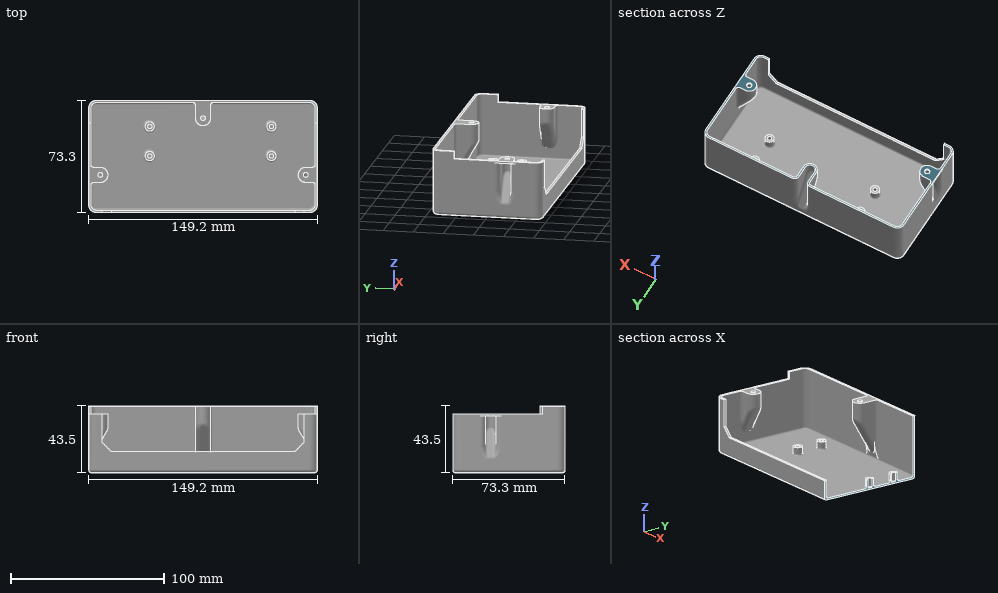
import cadquery as cq
import math

length = 149.2
width = 73.3
height = 43.5
corner_radius = 5.0
bottom_radius = 2.0
wall = 1.5
floor_fillet = 1.5

rim_drop = 5.0
back_rim_depth = 14.8

window_margin = 8.8
window_sill = 13.9
window_chamfer = 6.0

boss_radius = 4.9
boss_hole_diameter = 3.1
cap_thickness = 1.3
slant_angle = 60.0
slant_edge_radius = 1.6
mouth_radius = 3.3
side_boss_inset = 7.6
side_boss_from_front = 24.6
side_slant_start = 10.0
back_boss_inset = 11.6
back_slant_start = 12.2

foot_bottom = 3.3
foot_rise = 8.2

standoff_diameter = 6.0
standoff_hole_diameter = 2.8
standoff_height = 6.0
standoff_fillet = 1.5
standoff_left = -34.8
standoff_front = 0.3
standoff_pitch_x = 79.4
standoff_pitch_y = 19.2

low_rim = height - rim_drop
side_boss_y = side_boss_from_front - width / 2
boss_overlap = 3.0
edge_tolerance = 0.1

side_slant_z = low_rim - side_slant_start
back_wall_point = (0, width / 2)
back_turn = -90
bosses = [
    ((-length / 2, side_boss_y), 0, side_boss_inset, low_rim, side_slant_z),
    ((length / 2, side_boss_y), 180, side_boss_inset, low_rim, side_slant_z),
    (back_wall_point, back_turn, back_boss_inset, height, height - back_slant_start),
]


def place(shape, wall_point, turn):
    """Move a shape built on a wall at the origin, facing +X, onto its wall."""
    return shape.rotate((0, 0, 0), (0, 0, 1), turn).translate((*wall_point, 0))


def tongue(radius, inset, outside=0.0):
    """Outline that runs in from the wall and ends in a half circle."""
    return (
        cq.Workplane("XY")
        .moveTo(-outside, -radius)
        .lineTo(inset, -radius)
        .threePointArc((inset + radius, 0), (inset, radius))
        .lineTo(-outside, radius)
        .close()
    )


def recess(inset, slant_z):
    """Hollow of a boss, open at the top, its floor slanting down to the wall."""
    radius = boss_radius - wall
    tip = inset + radius
    run = tip + boss_overlap
    rise = math.tan(math.radians(slant_angle))
    tip_z = slant_z + wall * math.tan(math.radians((90 - slant_angle) / 2))
    slant = (
        cq.Workplane("XZ")
        .moveTo(-boss_overlap, tip_z - run * rise)
        .lineTo(tip, tip_z)
        .lineTo(tip, height)
        .lineTo(-boss_overlap, height)
        .close()
        .extrude(boss_radius, both=True)
    )
    body = tongue(radius, inset, boss_overlap).extrude(2 * height, both=True).intersect(slant)
    slant_normal = cq.Vector(rise, 0, -1)
    slant_edges = body.faces(cq.selectors.ParallelDirSelector(slant_normal)).edges("not <X")
    return slant_edges.fillet(slant_edge_radius)


def mouth_edges(wall_point, turn):
    """Select the edges where a recess breaks through its wall."""
    zone = cq.Workplane("XY").box(2 * edge_tolerance, 2 * boss_radius, height)
    bounds = place(zone, wall_point, turn).val().BoundingBox()
    return cq.selectors.BoxSelector(
        (bounds.xmin, bounds.ymin, bottom_radius),
        (bounds.xmax, bounds.ymax, height),
    )


def flared_foot():
    """Wedge on the inside of the wall, as wide as the boss with its concave flares."""
    flare = mouth_radius - wall
    wide = boss_radius + flare
    sag = flare * (1 - math.sqrt(0.5))
    outline = (
        cq.Workplane("XY")
        .moveTo(wall, -wide)
        .threePointArc((wall + sag, -boss_radius - sag), (wall + flare, -boss_radius))
        .lineTo(wall + flare, boss_radius)
        .threePointArc((wall + sag, boss_radius + sag), (wall, wide))
        .close()
        .extrude(height / 2)
    )
    wedge = (
        cq.Workplane("XZ")
        .moveTo(wall, foot_bottom)
        .lineTo(wall + flare, foot_bottom + foot_rise)
        .lineTo(wall + flare, height / 2)
        .lineTo(wall, height / 2)
        .close()
        .extrude(wide, both=True)
    )
    return outline.intersect(wedge)


block = (
    cq.Workplane("XY")
    .box(length, width, height, centered=(True, True, False))
    .edges("|Z")
    .fillet(corner_radius)
)

for wall_point, turn, inset, cap_top, slant_z in bosses:
    block = block.cut(place(recess(inset, slant_z), wall_point, turn))
    block = block.edges(mouth_edges(wall_point, turn)).fillet(mouth_radius)

result = block.faces(">Z").shell(-wall)

result = result.union(place(flared_foot(), back_wall_point, back_turn).intersect(block))

result = result.faces("<Z[1]").edges().fillet(floor_fillet)
result = result.faces("<Z").edges().fillet(bottom_radius)

front_length = width - back_rim_depth
rim_cut = (
    cq.Workplane("XY")
    .box(length, front_length, rim_drop, centered=(True, False, False))
    .translate((0, -width / 2, low_rim))
)
back_boss_width = 2 * (boss_radius + mouth_radius - wall)
back_boss_zone = cq.Workplane("XY").box(back_boss_width, width, 2 * height)
back_boss_zone = back_boss_zone.translate((0, width / 2, 0))
rim_cut = rim_cut.cut(back_boss_zone)
result = result.cut(rim_cut)

window_half = length / 2 - window_margin
window = (
    cq.Workplane("XZ", origin=(0, -width / 2 + 2 * wall, 0))
    .moveTo(-window_half, height)
    .lineTo(-window_half, window_sill + window_chamfer)
    .lineTo(-window_half + window_chamfer, window_sill)
    .lineTo(window_half - window_chamfer, window_sill)
    .lineTo(window_half, window_sill + window_chamfer)
    .lineTo(window_half, height)
    .close()
    .extrude(2 * wall)
)
result = result.cut(window)

for wall_point, turn, inset, cap_top, slant_z in bosses:
    hole = cq.Workplane("XY").center(inset, 0).circle(boss_hole_diameter / 2).extrude(cap_thickness)
    cap = tongue(boss_radius, inset).extrude(cap_thickness)
    mouth_width = 2 * (boss_radius - wall + mouth_radius)
    mouth = cq.Workplane("XY").box(wall, mouth_width, cap_thickness, centered=(False, True, False))
    cap = cap.union(mouth).cut(hole)
    cap = cap.translate((0, 0, cap_top - cap_thickness))
    result = result.union(place(cap, wall_point, turn))

standoff_points = [
    (standoff_left + column * standoff_pitch_x, standoff_front + row * standoff_pitch_y)
    for column in range(2)
    for row in range(2)
]
foot_reach = standoff_diameter / 2 + standoff_fillet
for x, y in standoff_points:
    post = cq.Workplane("XY").circle(standoff_diameter / 2).extrude(standoff_height)
    result = result.union(post.translate((x, y, wall)))
    foot_edge = cq.selectors.BoxSelector(
        (x - foot_reach, y - foot_reach, wall - edge_tolerance),
        (x + foot_reach, y + foot_reach, wall + edge_tolerance),
    )
    result = result.edges(foot_edge).fillet(standoff_fillet)
    hole = cq.Workplane("XY").circle(standoff_hole_diameter / 2).extrude(standoff_height)
    result = result.cut(hole.translate((x, y, wall)))

result = result.solids()